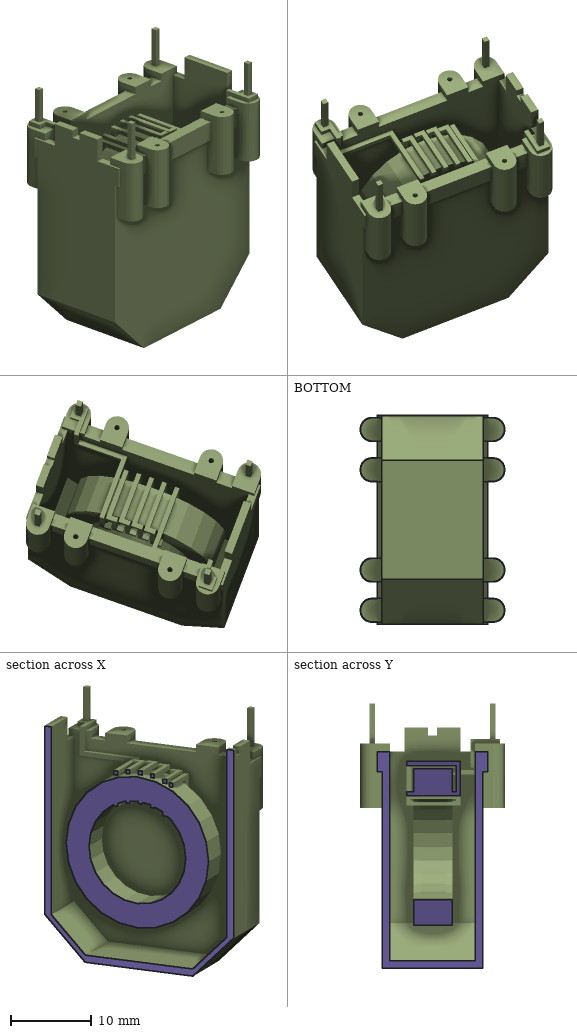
import cadquery as cq
import math

FACETS = 24

TOTAL_HEIGHT = 33.0
LENGTH = 26.0
WALL = 1.0
CAVITY_WIDTH = 10.63
BODY_WIDTH = CAVITY_WIDTH + 2 * WALL
RIM_OVERHANG = 0.6
RIM_WIDTH = BODY_WIDTH + 2 * RIM_OVERHANG
RIM_BOTTOM = 24.45
RIM_TOP = 27.0
BASE_CHAMFER = 5.6
CAVITY_CHAMFER = 4.65
CAVITY_LENGTH = LENGTH - 2 * WALL

TAB_WIDTH = 6.95
TAB_TOP = 30.0
NOTCH_WIDTH = 1.12
NOTCH_DEPTH = 1.0

TOWER_RADIUS = 1.5
TOTAL_WIDTH = 18.0
TOWER_X = TOTAL_WIDTH / 2 - TOWER_RADIUS
OUTER_TOWER_Y = 11.25
INNER_TOWER_Y = 6.25
TOWER_BOTTOM = 20.0
TOWER_TOP = 28.0
TOWER_HOLE_DIAMETER = 0.65
TOWER_HOLE_DEPTH = 3.95

PIN_WIDTH = 0.7
PIN_BOTTOM = TOWER_TOP - TOWER_HOLE_DEPTH

CORE_RADIUS = 9.8
CORE_BORE_RADIUS = 6.6
CORE_WIDTH = 4.9
CORE_X = -0.05
CORE_Y = 0.23
CORE_Z = 15.15

WIRE = 0.6
CORE_CLEARANCE = 0.25
COIL_LEFT = -3.5
COIL_RIGHT = 3.25
PITCH = 1.68
FIRST_TURN_Y = 3.2
TURNS = 5
PAD_SIZE = 3 * WIRE
PAD_TOP = TOWER_TOP + WIRE


def box(x_range, y_range, z_range):
    """Axis-aligned block between two limits along each axis, given in either order."""
    x0, x1 = sorted(x_range)
    y0, y1 = sorted(y_range)
    z0, z1 = sorted(z_range)
    return cq.Workplane("XY").box(x1 - x0, y1 - y0, z1 - z0, centered=False).translate((x0, y0, z0))


def chamfered_block(width, length, bottom, top, chamfer):
    """Block with its two lower edges along X cut at 45 degrees."""
    return (
        cq.Workplane("XY", origin=(0, 0, bottom))
        .box(width, length, top - bottom, centered=(True, True, False))
        .edges("<Z and |X")
        .chamfer(chamfer)
    )


def tower(side, y):
    """Round-ended post reaching from the cavity wall past the housing side."""
    x_inner = side * CAVITY_WIDTH / 2
    x_axis = side * TOWER_X
    z_range = (TOWER_BOTTOM, TOWER_TOP)
    web = box((x_inner, x_axis), (y - TOWER_RADIUS, y + TOWER_RADIUS), z_range)
    post = (
        cq.Workplane("XY", origin=(x_axis, y, TOWER_BOTTOM))
        .polygon(FACETS, 2 * TOWER_RADIUS)
        .extrude(TOWER_TOP - TOWER_BOTTOM)
    )
    return web.union(post)


def make_pin(side, y):
    """Square pin standing in a corner tower."""
    return (
        cq.Workplane("XY", origin=(side * TOWER_X, y, PIN_BOTTOM))
        .rect(PIN_WIDTH, PIN_WIDTH)
        .extrude(TOTAL_HEIGHT - PIN_BOTTOM)
    )


def make_housing():
    """Open box with a rim, end tabs, towers, blind holes and pin sockets."""
    shell = chamfered_block(BODY_WIDTH, LENGTH, 0, RIM_TOP, BASE_CHAMFER)
    half_rim = RIM_WIDTH / 2
    half_length = LENGTH / 2
    shell = shell.union(box((-half_rim, half_rim), (-half_length, half_length), (RIM_BOTTOM, RIM_TOP)))
    half_tab = TAB_WIDTH / 2
    shell = shell.union(box((-half_tab, half_tab), (-half_length, half_length), (RIM_BOTTOM, TAB_TOP)))
    for side in (-1, 1):
        for y in (-OUTER_TOWER_Y, -INNER_TOWER_Y, INNER_TOWER_Y, OUTER_TOWER_Y):
            shell = shell.union(tower(side, y))
    cavity = chamfered_block(CAVITY_WIDTH, CAVITY_LENGTH, WALL, TAB_TOP, CAVITY_CHAMFER)
    shell = shell.cut(cavity)

    half_notch = NOTCH_WIDTH / 2
    notch = box(
        (-half_notch, half_notch), (-half_length, -half_length + WALL), (TAB_TOP - NOTCH_DEPTH, TAB_TOP)
    )
    shell = shell.cut(notch)

    for side in (-1, 1):
        for y in (-INNER_TOWER_Y, INNER_TOWER_Y):
            hole = (
                cq.Workplane("XY", origin=(side * TOWER_X, y, TOWER_TOP))
                .polygon(FACETS, TOWER_HOLE_DIAMETER)
                .extrude(-TOWER_HOLE_DEPTH)
            )
            shell = shell.cut(hole)
        for y in (-OUTER_TOWER_Y, OUTER_TOWER_Y):
            shell = shell.cut(make_pin(side, y))
    return shell


def make_core():
    """Ring with its axis along X."""
    return (
        cq.Workplane("YZ", origin=(CORE_X - CORE_WIDTH / 2, CORE_Y, CORE_Z))
        .polygon(FACETS, 2 * CORE_RADIUS)
        .polygon(FACETS, 2 * CORE_BORE_RADIUS)
        .extrude(CORE_WIDTH)
    )


def wire_run(points):
    """Square wire through axis-aligned points on its centre line."""
    half = WIRE / 2
    run = cq.Workplane("XY")
    for start, end in zip(points, points[1:]):
        ranges = [(min(a, b) - half, max(a, b) + half) for a, b in zip(start, end)]
        run = run.union(box(*ranges))
    return run


def height_over_core(y):
    """Height of the wire's centre line where it crosses clear above the core."""
    radius = CORE_RADIUS + CORE_CLEARANCE + WIRE / 2
    return CORE_Z + math.sqrt(radius**2 - (y - CORE_Y) ** 2)


def height_in_bore(y):
    """Height of the wire's centre line where it is set into the bore surface."""
    return CORE_Z + math.sqrt(CORE_BORE_RADIUS**2 - (y - CORE_Y) ** 2)


def make_coil():
    """Wire from one corner pad, around the ring, to the pad in the opposite corner."""
    half = WIRE / 2
    left = COIL_LEFT + half
    right = COIL_RIGHT - half
    wall_x = CAVITY_WIDTH / 2 - half
    lead_y = OUTER_TOWER_Y - PAD_SIZE / 2 + half
    lead_z = PAD_TOP - half

    turn_y = [FIRST_TURN_Y - i * PITCH for i in range(TURNS)]
    rise_y = [y - PITCH / 2 for y in turn_y]
    exit_y = rise_y[-1]
    crossing_y = turn_y[1:] + [exit_y]

    start_z = height_over_core(turn_y[0])
    path = [(TOWER_X, lead_y, lead_z), (wall_x, lead_y, lead_z)]
    path += [(wall_x, lead_y, start_z), (wall_x, turn_y[0], start_z)]
    for y, riser, next_y in zip(turn_y, rise_y, crossing_y):
        top = height_over_core(y)
        bottom = height_in_bore(y)
        next_top = height_over_core(next_y)
        path += [(left, y, top), (left, y, bottom), (right, y, bottom)]
        path += [(right, riser, bottom), (right, riser, next_top)]
        path += [(right, next_y, next_top)]
    end_z = height_over_core(exit_y)
    path += [(-wall_x, exit_y, end_z), (-wall_x, -lead_y, end_z)]
    path += [(-wall_x, -lead_y, lead_z), (-TOWER_X, -lead_y, lead_z)]
    coil = wire_run(path)

    half_pad = PAD_SIZE / 2
    for end in (-1, 1):
        x = end * TOWER_X
        y = end * OUTER_TOWER_Y
        pad = box((x - half_pad, x + half_pad), (y - half_pad, y + half_pad), (TOWER_TOP, PAD_TOP))
        coil = coil.union(pad).cut(make_pin(end, y))
    return coil


def make_wound_core():
    """Core and winding in one body, joined where the wire is set into the bore."""
    return make_core().union(make_coil())


housing = make_housing()
wound_core = make_wound_core()
pins = [make_pin(side, y) for side in (-1, 1) for y in (-OUTER_TOWER_Y, OUTER_TOWER_Y)]

result = cq.Compound.makeCompound([housing.val(), wound_core.val(), *[pin.val() for pin in pins]])